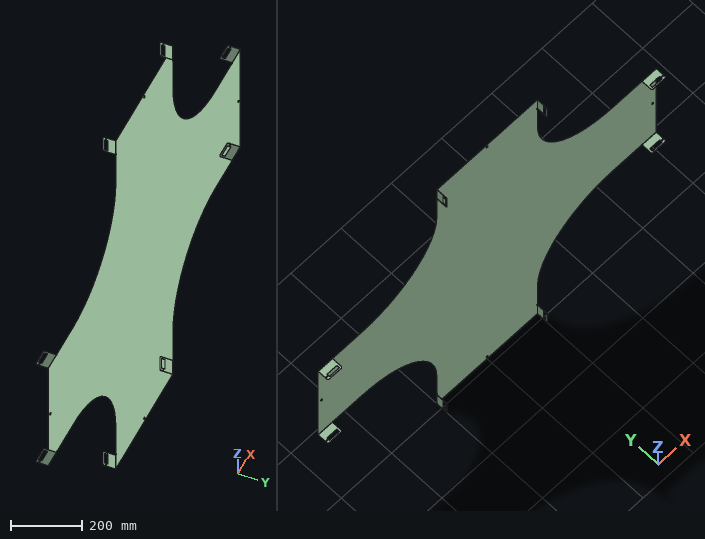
import cadquery as cq

SPAN = 1346.0
ARM_WIDTH = 401.0
CORNER_RADIUS = 300.0
SHEET = 1.0
DEPTH = 40.07

HOLE_DIAMETER = 6.4
HOLE_EDGE_DISTANCE = 14.0

TAB_LENGTH = 57.0
TAB_CORNER_RADIUS = 4.5
SLOT_START = 11.0
SLOT_END = 50.0
SLOT_WIDTH = 10.0
SLOT_BAR = 5.0
SLIT_WIDTH = 2.0

RELIEF_LENGTH = 2.0
RELIEF_DEPTH = 3.0

HALF_SPAN = SPAN / 2
HALF_WIDTH = ARM_WIDTH / 2
TAB_END = HALF_SPAN - TAB_LENGTH
ARM_ANGLES = (0, 90, 180, 270)


def box(x_range, y_range, z_range):
    """Axis-aligned box between the given limits."""
    size = [high - low for low, high in (x_range, y_range, z_range)]
    corner = (x_range[0], y_range[0], z_range[0])
    return cq.Workplane("XY").box(*size, centered=False).translate(corner)


def turned(shape, angle):
    """Shape rotated about the plate normal (Y axis)."""
    return shape.rotate((0, 0, 0), (0, 1, 0), angle)


def with_mirror(shape):
    """Shape together with its copy on the opposite edge of the arm."""
    return shape.union(shape.mirror("XY"))


def make_plate():
    """Flat cross with its outer face at Y = 0 and rounded inside corners."""
    bar = box((-HALF_SPAN, HALF_SPAN), (-SHEET, 0), (-HALF_WIDTH, HALF_WIDTH))
    cross = bar.union(turned(bar, 90))
    margin = SHEET
    reach = HALF_WIDTH + margin
    inside_corners = cq.selectors.BoxSelector((-reach, -DEPTH, -reach), (reach, DEPTH, reach))
    return cross.edges("|Y").edges(inside_corners).fillet(CORNER_RADIUS)


def make_tab():
    """Tab on the +Z edge of the +X arm, with a slot open to the arm tip by a slit."""
    z_range = (HALF_WIDTH - SHEET, HALF_WIDTH)
    tab = box((TAB_END, HALF_SPAN), (-DEPTH, 0), z_range)
    tab = tab.edges("|Z and <Y").fillet(TAB_CORNER_RADIUS)

    slot_near = HALF_SPAN - SLOT_START
    slot_far = HALF_SPAN - SLOT_END
    slot_low = -DEPTH + SLOT_BAR
    slot_high = slot_low + SLOT_WIDTH
    slot = box((slot_far, slot_near), (slot_low, slot_high), z_range)

    slit_middle = (slot_low + slot_high) / 2
    slit_range = (slit_middle - SLIT_WIDTH / 2, slit_middle + SLIT_WIDTH / 2)
    slit = box((slot_near, HALF_SPAN), slit_range, z_range)
    return tab.cut(slot).cut(slit)


def make_relief():
    """Cutter for the notch beside the tab on the +Z edge of the +X arm."""
    z_range = (HALF_WIDTH - RELIEF_DEPTH, HALF_WIDTH)
    return box((TAB_END - RELIEF_LENGTH, TAB_END), (-SHEET, 0), z_range)


def make_hole():
    """Cutter for the hole near the tip of the +X arm."""
    hole_centre = HALF_SPAN - HOLE_EDGE_DISTANCE
    return cq.Workplane("XZ").center(hole_centre, 0).circle(HOLE_DIAMETER / 2).extrude(SHEET)


tab_pair = with_mirror(make_tab())
relief_pair = with_mirror(make_relief())
hole = make_hole()

result = make_plate()
for arm_angle in ARM_ANGLES:
    result = result.union(turned(tab_pair, arm_angle))
    result = result.cut(turned(relief_pair, arm_angle))
    result = result.cut(turned(hole, arm_angle))